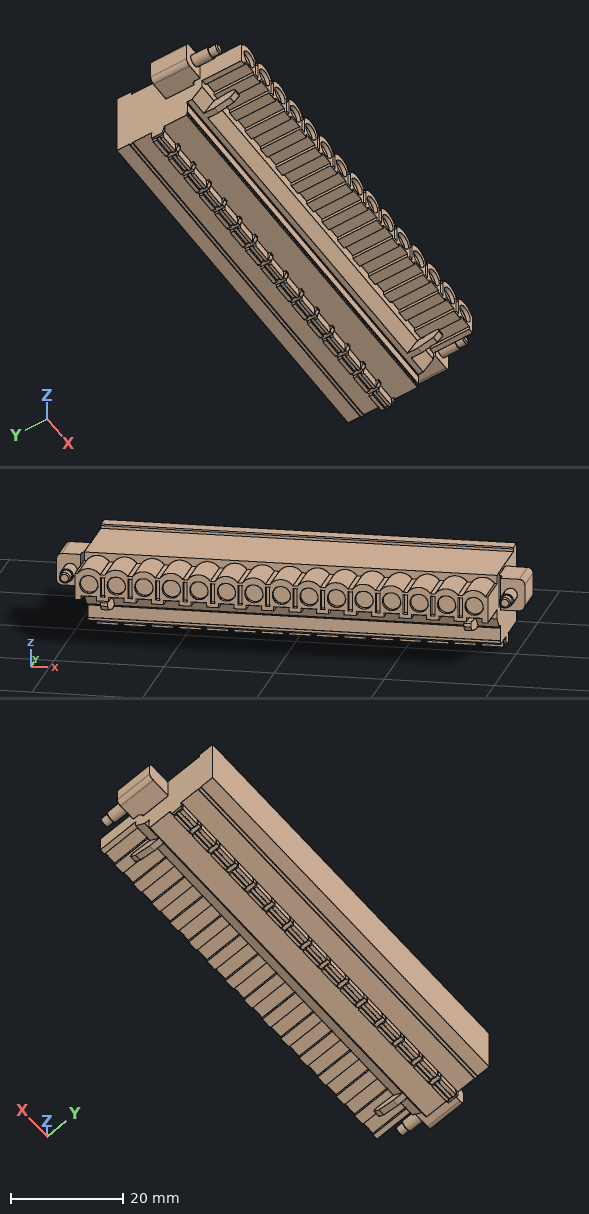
import cadquery as cq


POLE_COUNT = 15
PITCH = 5.0
BODY_LENGTH = POLE_COUNT * PITCH
HALF_LENGTH = BODY_LENGTH / 2

BODY_TOP = 13.85
FRONT_DEPTH = 18.2
LOWER_DEPTH = 15.0
STEP_HEIGHT = 3.6
SLOPE_TOP = 5.75
SLOPE_DEPTH = FRONT_DEPTH - (SLOPE_TOP - STEP_HEIGHT)
RIDGE_TOP = 14.6
RIDGE_DEPTH = 3.15
EDGE_BEVEL_HEIGHT = 0.25
EDGE_BEVEL_DEPTH = 0.12

PANEL_BOTTOM = 0.75
PANEL_TOP = 3.1
PANEL_RELIEF = 0.08

BEAD_BACK = 2.75
BEAD_WIDTH = 0.65
BEAD_HEIGHT = 0.25
FOOT_BACK = 7.45
FOOT_FRONT = 9.6
FOOT_HEIGHT = 2.07
FOOT_GROOVE_HEIGHT = 0.52
FOOT_LENGTH = 4.0
FOOT_GROOVE_BACK = 8.2
FOOT_GROOVE_FRONT = 9.0
RIB_LENGTH = 0.8
RIB_HEIGHT = FOOT_HEIGHT - FOOT_GROOVE_HEIGHT
RIB_FRONT = 10.05
RIB_STRAIGHT = 0.5

SLEEVE_LENGTH = 8.4
SLEEVE_BOTTOM = 7.45
SLEEVE_SHOULDER = 12.3
SLEEVE_TOP = 13.35
SLEEVE_ARC_WIDTH = 4.15
SLEEVE_DEPTH = FRONT_DEPTH + SLEEVE_LENGTH
BORE_Z = 10.4
BORE_DIAMETER = 3.3
BORE_DEPTH = 0.8
NOTCH_WIDTH = 2.8
NOTCH_HEIGHT = 0.75
SLOT_WIDTH = 0.75
SLOT_BOTTOM = 8.2
SLOT_TOP = 11.8
SLOT_DEPTH = 1.0

FLANGE_REACH = 5.05
FLANGE_BACK = 10.5
FLANGE_BOTTOM = SLEEVE_BOTTOM
FLANGE_TOP = SLEEVE_TOP
FLANGE_FILLET = 1.0
RELIEF_WIDTH = 0.65
RELIEF_STRAIGHT = 1.2
RELIEF_LENGTH = 1.75
RELIEF_END_WIDTH = 0.3

SCREW_X = HALF_LENGTH + 2.5
SCREW_DIAMETER = 2.4
SCREW_LENGTH = 3.6
TIP_DIAMETER = 1.95
TIP_LENGTH = 1.8
TIP_CHAMFER = 0.25

LATCH_X = HALF_LENGTH - 4.5
LATCH_WIDTH = 1.3
LATCH_UNDERSIDE_BEND_DEPTH = 18.3
LATCH_NOSE_BOTTOM = (21.6, 4.35)
LATCH_NOSE_FRONT = (22.75, 5.35)
LATCH_NOSE_TOP = (22.65, 5.95)
LATCH_CREST = (21.8, 6.1)


def box(x_min, x_max, depth_back, depth_front, z_min, z_max):
    """Block given by its X range, its depth range behind-to-front and its Z range."""
    size = (x_max - x_min, depth_front - depth_back, z_max - z_min)
    return cq.Workplane("XY").box(*size, centered=False).translate((x_min, -depth_front, z_min))


def side_profile(depth_height_points, x_min, x_max):
    """Prism along X with an outline given as (depth, height) points."""
    points = [(-depth, height) for depth, height in depth_height_points]
    prism = cq.Workplane("YZ").polyline(points).close().extrude(x_max - x_min)
    return prism.translate((x_min, 0, 0))


def cylinder_forward(x, z, start_depth, diameter, length):
    """Cylinder running toward -Y from a given depth."""
    plane = cq.Workplane("XZ", origin=(x, -start_depth, z))
    return plane.circle(diameter / 2).extrude(length)


def pole_centres():
    return [(i + 0.5) * PITCH - HALF_LENGTH for i in range(POLE_COUNT)]


def pole_boundaries():
    return [(i + 1) * PITCH - HALF_LENGTH for i in range(POLE_COUNT - 1)]


def make_housing():
    outline = [
        (0, 0),
        (LOWER_DEPTH - EDGE_BEVEL_DEPTH, 0),
        (LOWER_DEPTH, EDGE_BEVEL_HEIGHT),
        (LOWER_DEPTH, STEP_HEIGHT),
        (SLOPE_DEPTH, STEP_HEIGHT),
        (FRONT_DEPTH, SLOPE_TOP),
        (FRONT_DEPTH, BODY_TOP),
        (RIDGE_DEPTH, BODY_TOP),
        (RIDGE_DEPTH, RIDGE_TOP - EDGE_BEVEL_HEIGHT),
        (RIDGE_DEPTH - EDGE_BEVEL_DEPTH, RIDGE_TOP),
        (0, RIDGE_TOP),
    ]
    housing = side_profile(outline, -HALF_LENGTH, HALF_LENGTH)
    panel_front = LOWER_DEPTH + PANEL_RELIEF
    panel = box(-HALF_LENGTH, HALF_LENGTH, RIDGE_DEPTH, panel_front, PANEL_BOTTOM, PANEL_TOP)
    bead_front = BEAD_BACK + BEAD_WIDTH
    bead = box(-HALF_LENGTH, HALF_LENGTH, BEAD_BACK, bead_front, -BEAD_HEIGHT, STEP_HEIGHT)
    return housing.union(panel).union(bead)


def add_feet(part):
    """One grooved foot per pole under the housing, with tapered ribs at the pole boundaries."""
    groove_top = FOOT_GROOVE_HEIGHT - FOOT_HEIGHT
    for x in pole_centres():
        x_min = x - FOOT_LENGTH / 2
        x_max = x + FOOT_LENGTH / 2
        foot = box(x_min, x_max, FOOT_BACK, FOOT_FRONT, -FOOT_HEIGHT, STEP_HEIGHT)
        groove = box(x_min, x_max, FOOT_GROOVE_BACK, FOOT_GROOVE_FRONT, -FOOT_HEIGHT, groove_top)
        part = part.union(foot.cut(groove))
    rib_outline = [
        (FOOT_BACK, STEP_HEIGHT),
        (RIB_FRONT, STEP_HEIGHT),
        (RIB_FRONT, -RIB_STRAIGHT),
        (FOOT_FRONT, -RIB_HEIGHT),
        (FOOT_BACK, -RIB_HEIGHT),
    ]
    for x in [-HALF_LENGTH, *pole_boundaries(), HALF_LENGTH]:
        x_min = max(x - RIB_LENGTH / 2, -HALF_LENGTH)
        x_max = min(x + RIB_LENGTH / 2, HALF_LENGTH)
        part = part.union(side_profile(rib_outline, x_min, x_max))
    return part


def make_sleeves():
    """Row of joined sleeves with arched tops, as one extruded outline with bores, notches and slots."""
    outline = cq.Workplane("XZ", origin=(0, -FRONT_DEPTH, 0))
    outline = outline.moveTo(-HALF_LENGTH, SLEEVE_BOTTOM).lineTo(-HALF_LENGTH, SLEEVE_SHOULDER)
    for x in pole_centres():
        outline = outline.lineTo(x - SLEEVE_ARC_WIDTH / 2, SLEEVE_SHOULDER)
        outline = outline.threePointArc((x, SLEEVE_TOP), (x + SLEEVE_ARC_WIDTH / 2, SLEEVE_SHOULDER))
    outline = outline.lineTo(HALF_LENGTH, SLEEVE_SHOULDER).lineTo(HALF_LENGTH, SLEEVE_BOTTOM)
    sleeves = outline.close().extrude(SLEEVE_LENGTH)

    notch_top = SLEEVE_BOTTOM + NOTCH_HEIGHT
    for x in pole_centres():
        bore = cylinder_forward(x, BORE_Z, SLEEVE_DEPTH - BORE_DEPTH, BORE_DIAMETER, BORE_DEPTH)
        sleeves = sleeves.cut(bore)
        x_min = x - NOTCH_WIDTH / 2
        x_max = x + NOTCH_WIDTH / 2
        sleeves = sleeves.cut(box(x_min, x_max, FRONT_DEPTH, SLEEVE_DEPTH, SLEEVE_BOTTOM, notch_top))
    slot_back = SLEEVE_DEPTH - SLOT_DEPTH
    for x in pole_boundaries():
        x_min = x - SLOT_WIDTH / 2
        x_max = x + SLOT_WIDTH / 2
        sleeves = sleeves.cut(box(x_min, x_max, slot_back, SLEEVE_DEPTH, SLOT_BOTTOM, SLOT_TOP))
    return sleeves


def make_flange():
    """Flange on the +X end: outer edges rounded, relief gap beside the housing, screw in front."""
    outer = HALF_LENGTH + FLANGE_REACH
    flange = box(HALF_LENGTH, outer, FLANGE_BACK, FRONT_DEPTH, FLANGE_BOTTOM, FLANGE_TOP)
    flange = flange.edges(">X and |Y").fillet(FLANGE_FILLET)
    relief_x = HALF_LENGTH + RELIEF_WIDTH
    relief_points = [
        (HALF_LENGTH, -FRONT_DEPTH),
        (relief_x, -FRONT_DEPTH),
        (relief_x, -FRONT_DEPTH + RELIEF_STRAIGHT),
        (HALF_LENGTH + RELIEF_END_WIDTH, -FRONT_DEPTH + RELIEF_LENGTH),
        (HALF_LENGTH, -FRONT_DEPTH + RELIEF_LENGTH),
    ]
    relief = cq.Workplane("XY").polyline(relief_points).close().extrude(RIDGE_TOP)
    flange = flange.cut(relief)
    shank = cylinder_forward(SCREW_X, BORE_Z, FRONT_DEPTH, SCREW_DIAMETER, SCREW_LENGTH)
    tip = cylinder_forward(SCREW_X, BORE_Z, FRONT_DEPTH + SCREW_LENGTH, TIP_DIAMETER, TIP_LENGTH)
    tip = tip.faces("<Y").chamfer(TIP_CHAMFER)
    return flange.union(shank).union(tip)


def make_latch(x):
    """Blunt-nosed hook rising forward from the sloped face under the sleeves."""
    outline = [
        (RIDGE_DEPTH, STEP_HEIGHT),
        (LATCH_UNDERSIDE_BEND_DEPTH, STEP_HEIGHT),
        LATCH_NOSE_BOTTOM,
        LATCH_NOSE_FRONT,
        LATCH_NOSE_TOP,
        LATCH_CREST,
        (FRONT_DEPTH, SLOPE_TOP),
        (RIDGE_DEPTH, SLOPE_TOP),
    ]
    return side_profile(outline, x - LATCH_WIDTH / 2, x + LATCH_WIDTH / 2)


result = add_feet(make_housing()).union(make_sleeves())
flange = make_flange()
result = result.union(flange).union(flange.mirror("YZ"))
for latch_x in (-LATCH_X, LATCH_X):
    result = result.union(make_latch(latch_x))